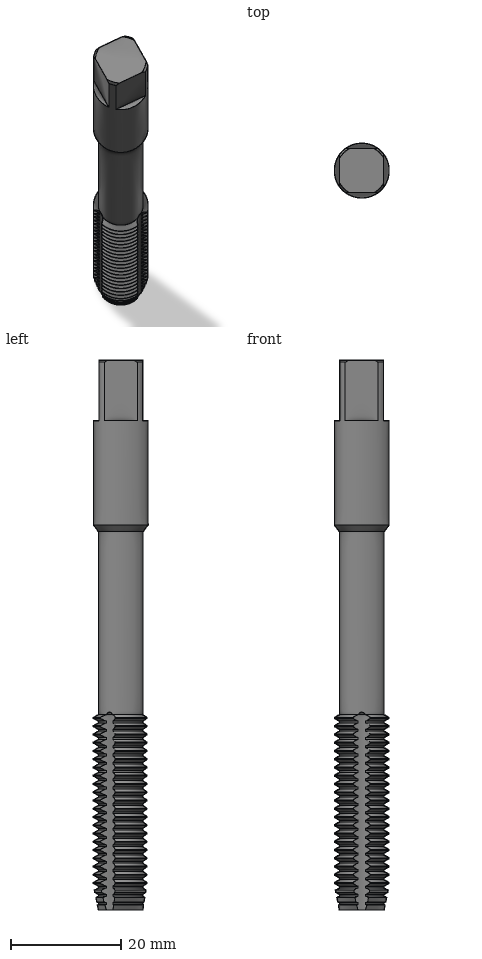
import cadquery as cq
import math

total_length = 100.0
nominal_diameter = 10.0
core_diameter = 8.16
nominal_radius = nominal_diameter / 2
core_radius = core_diameter / 2
step = nominal_radius - core_radius

grip_start = 70.0
grip_cone_length = 1.2
grip_cone_start = grip_start - grip_cone_length
square_length = 11.0
square_start = total_length - square_length

square_width = 8.0
top_chamfer = 0.4

pitch = 1.5
flank_half_angle = 30.0
crest_flat = 0.15
flank_width = step * math.tan(math.radians(flank_half_angle))
tooth_base = crest_flat + 2 * flank_width
tooth_count = 24
first_tooth_center = 0.45
last_tooth_center = first_tooth_center + (tooth_count - 1) * pitch
thread_length = last_tooth_center + tooth_base / 2

lead_length = 4.5

flute_count = 3
flute_radius = 1.8
flute_center_radius = 5.7
flute_straight_length = 35.2
first_flute_angle = -90.0


def revolve_profile(points):
    """Solid of revolution about Z from (radius, height) points."""
    return cq.Workplane("XZ").polyline(points).close().revolve(360, (0, 0), (0, 1))


def make_shank():
    """Plain neck and grip with a square drive end."""
    profile = [
        (0, thread_length),
        (core_radius, thread_length),
        (core_radius, grip_cone_start),
        (nominal_radius, grip_start),
        (nominal_radius, total_length - top_chamfer),
        (nominal_radius - top_chamfer, total_length),
        (0, total_length),
    ]
    body = revolve_profile(profile)
    around_square = (
        cq.Workplane("XY")
        .workplane(offset=square_start)
        .rect(2 * nominal_diameter, 2 * nominal_diameter)
        .rect(square_width, square_width)
        .extrude(square_length)
    )
    return body.cut(around_square)


def make_thread_blank():
    """Core cylinder with ring teeth, trimmed by the conical lead."""
    profile = [(0, -pitch), (core_radius, -pitch)]
    for index in range(tooth_count):
        center = first_tooth_center + index * pitch
        profile += [
            (core_radius, center - tooth_base / 2),
            (nominal_radius, center - crest_flat / 2),
            (nominal_radius, center + crest_flat / 2),
            (core_radius, center + tooth_base / 2),
        ]
    profile.append((0, thread_length))
    toothed = revolve_profile(profile)
    envelope_profile = [
        (0, 0),
        (core_radius, 0),
        (nominal_radius, lead_length),
        (nominal_radius, thread_length),
        (0, thread_length),
    ]
    envelope = revolve_profile(envelope_profile)
    return toothed.intersect(envelope)


def cut_flutes(body):
    """Cut the straight round flutes, each with a ball-shaped upper end."""
    for index in range(flute_count):
        angle = math.radians(first_flute_angle + index * 360 / flute_count)
        center_x = flute_center_radius * math.cos(angle)
        center_y = flute_center_radius * math.sin(angle)
        channel = (
            cq.Workplane("XY")
            .center(center_x, center_y)
            .circle(flute_radius)
            .extrude(flute_straight_length)
        )
        ball_end = cq.Workplane("XY").sphere(flute_radius).translate(
            (center_x, center_y, flute_straight_length)
        )
        body = body.cut(channel).cut(ball_end)
    return body


shank = cut_flutes(make_shank())
threaded_section = cut_flutes(make_thread_blank())

result = cq.Compound.makeCompound([shank.val(), threaded_section.val()])